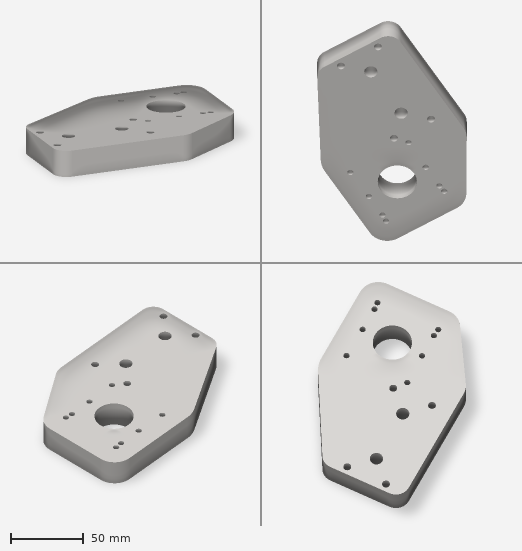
import cadquery as cq

width = 100.3
length = 147.0
thickness = 19.0

lower_cut_x = 38.8
lower_cut_y = 68.5
upper_cut_x = 30.9
upper_cut_y = 49.5

lower_radius = 10.0
left_radius = 20.0
upper_radius = 14.0

bore_x = 38.0
bore_y = 107.2
bore_diameter = 27.0
small_diameter = 4.3
square_pitch = 47.0
side_pitch = 46.0
upper_pair_rise = 18.0

lower_group_x = 70.0
dowel_y = 20.3
dowel_spacing = 40.0
dowel_diameter = 9.1
bolt_y = 5.5
bolt_pitch_x = 30.0
bolt_pitch_y = 69.8
bolt_diameter = 5.5


def corner(x, y):
    """Select the vertical edge at one corner of the outline."""
    reach = 0.1
    return cq.selectors.BoxSelector(
        (x - reach, y - reach, -reach), (x + reach, y + reach, thickness + reach)
    )


def make_plate():
    corners = [
        (lower_cut_x, 0, lower_radius),
        (width, 0, lower_radius),
        (width, length - upper_cut_y, upper_radius),
        (width - upper_cut_x, length, upper_radius),
        (0, length, upper_radius),
        (0, lower_cut_y, left_radius),
    ]
    outline = [(x, y) for x, y, _ in corners]
    plate = cq.Workplane("XY").polyline(outline).close().extrude(thickness)
    for x, y, radius in corners:
        plate = plate.edges("|Z").edges(corner(x, y)).fillet(radius)
    return plate


def through_holes(points, diameter):
    return cq.Workplane("XY").pushPoints(points).circle(diameter / 2).extrude(thickness)


square_holes = [
    (bore_x + side * square_pitch / 2, bore_y + end * square_pitch / 2)
    for side in (-1, 1)
    for end in (-1, 1)
]
side_holes = [
    (bore_x + side * side_pitch / 2, bore_y + rise)
    for side in (-1, 1)
    for rise in (0, upper_pair_rise)
]
dowel_holes = [(lower_group_x, dowel_y + step * dowel_spacing) for step in (0, 1)]
bolt_holes = [
    (lower_group_x + side * bolt_pitch_x / 2, bolt_y + step * bolt_pitch_y)
    for side in (-1, 1)
    for step in (0, 1)
]

result = (
    make_plate()
    .cut(through_holes([(bore_x, bore_y)], bore_diameter))
    .cut(through_holes(square_holes + side_holes, small_diameter))
    .cut(through_holes(dowel_holes, dowel_diameter))
    .cut(through_holes(bolt_holes, bolt_diameter))
)